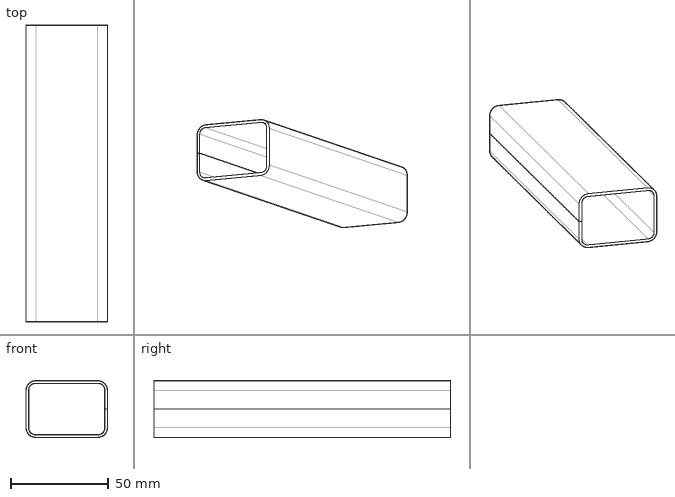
import cadquery as cq

width = 41.91
height = 29.21
length = 152.4
wall = 1.524
outer_radius = 5.08
inner_radius = 3.175

seam_gap = 0.1


def rounded_bar(bar_width, bar_height, corner_radius):
    """Full-length bar with rounded long edges."""
    bar = cq.Workplane("XY").box(bar_width, length, bar_height)
    return bar.edges("|Y").fillet(corner_radius)


def seam_cutter():
    """Thin full-length slab crossing the +X wall only."""
    slab = cq.Workplane("XY").box(2 * wall, length, seam_gap)
    return slab.translate((width / 2 - wall / 2, 0, 0))


outside = rounded_bar(width, height, outer_radius)
bore = rounded_bar(width - 2 * wall, height - 2 * wall, inner_radius)

result = outside.cut(bore).cut(seam_cutter())